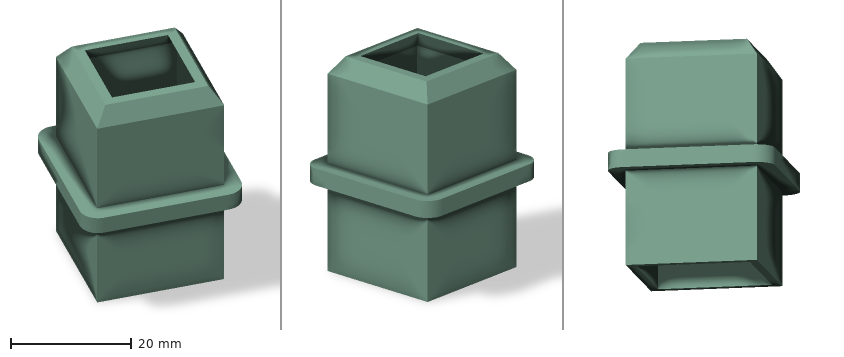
import cadquery as cq

total_height = 38.0
body_width = 22.2

tip_width = 18.0
tip_height = 3.0

mouth_width = 14.5
wall_thickness = 1.45

collar_width = 28.2
collar_height = 3.0
collar_corner_radius = 3.15

straight_height = total_height - tip_height
collar_bottom = (straight_height - collar_height) / 2
bore_width = body_width - 2 * wall_thickness
taper_rate = (body_width - tip_width) / tip_height
flare_height = (bore_width - mouth_width) / taper_rate


def square_bar(width, height, bottom=0.0):
    """Upright square bar centred on the Z axis."""
    return cq.Workplane("XY").workplane(offset=bottom).rect(width, width).extrude(height)


def tapered_bar(lower_width, upper_width, taper_height):
    """Full-height square bar whose top end narrows over taper_height."""
    straight_part_height = total_height - taper_height
    taper = (
        cq.Workplane("XY")
        .workplane(offset=straight_part_height)
        .rect(lower_width, lower_width)
        .workplane(offset=taper_height)
        .rect(upper_width, upper_width)
        .loft(ruled=True)
    )
    return square_bar(lower_width, straight_part_height).union(taper)


def collar():
    """Square flange with rounded vertical corners."""
    plate = square_bar(collar_width, collar_height, collar_bottom)
    return plate.edges("|Z").fillet(collar_corner_radius)


body = tapered_bar(body_width, tip_width, tip_height).union(collar())

bore = tapered_bar(bore_width, mouth_width, flare_height)
result = body.cut(bore)